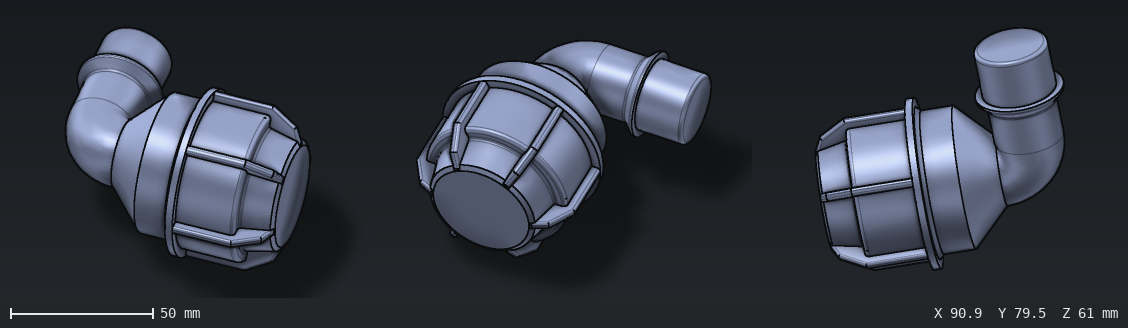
import cadquery as cq
import math


overall_length = 90.9

tube_radius = 24.7 / 2
bend_radius = 11.8
spigot_radius = 26.4 / 2
spigot_end = 49.0
spigot_end_fillet = 1.4

collar_radius = 31.7 / 2
collar_face = 31.1
collar_rim = 1.2
collar_rim_fillet = 0.7
collar_root_fillet = 1.4

body_radius = 51.2 / 2
body_end = 36.5
lip_radius = 27.2

flange_radius = 61.0 / 2
flange_start = 38.25
flange_end = 41.0
barrel_radius = 27.2
barrel_end = 62.8
barrel_fillet = 1.6
nose_root_radius = 22.8
nose_tip_radius = 20.3
nose_root_fillet = 1.1
nose_end_radius = 18.4
nose_chamfer_length = 1.2
nut_end = overall_length - collar_radius

rib_count = 6
rib_thickness = 3.0
rib_fillet = 1.0
rib_inner_radius = 13.6
rib_outer_radius = 30.4
rib_shoulder = (72.2, 24.9)
rib_tip = (74.9, 19.4)


def circle_of(radius, position):
    """Selector box just around one circular edge centred on the X axis."""
    slack = 0.045
    reach = radius + slack
    return cq.selectors.BoxSelector(
        (position - slack, -reach, -reach), (position + slack, reach, reach), boundingbox=True
    )


def make_spigot():
    """Round spigot with a flared collar, standing on the start of the bend."""
    rim_back = collar_face - collar_rim
    flare_start = rim_back - (collar_radius - tube_radius)
    spigot = (
        cq.Workplane("XY")
        .moveTo(0, bend_radius)
        .lineTo(tube_radius, bend_radius)
        .lineTo(tube_radius, flare_start)
        .lineTo(collar_radius, rim_back)
        .lineTo(collar_radius, collar_face)
        .lineTo(spigot_radius, collar_face)
        .lineTo(spigot_radius, spigot_end)
        .lineTo(0, spigot_end)
        .close()
        .revolve(360, (0, 0, 0), (0, 1, 0))
    )
    near = cq.selectors.NearestToPointSelector
    spigot = spigot.faces(">Y").edges().fillet(spigot_end_fillet)
    spigot = spigot.edges(near((0, rim_back, 0))).fillet(collar_rim_fillet)
    return spigot.edges(near((0, flare_start, 0))).fillet(collar_root_fillet)


def make_bend():
    """Quarter bend; the tube is wider than the bend, so its section stops at the bend axis."""
    section_half_height = math.sqrt(tube_radius**2 - bend_radius**2)
    return (
        cq.Workplane("XZ", origin=(0, bend_radius, 0))
        .moveTo(bend_radius, -section_half_height)
        .threePointArc((-tube_radius, 0), (bend_radius, section_half_height))
        .close()
        .revolve(90, (bend_radius, 0, 0), (bend_radius, 1, 0))
    )


def make_body_and_nut():
    """Cone, cylinder, lip, flange, barrel and chamfered nose turned about the X axis."""
    cone_end = bend_radius + (body_radius - tube_radius)
    turned = (
        cq.Workplane("XY")
        .moveTo(bend_radius, 0)
        .lineTo(bend_radius, tube_radius)
        .lineTo(cone_end, body_radius)
        .lineTo(body_end, body_radius)
        .lineTo(flange_start, lip_radius)
        .lineTo(flange_start, flange_radius)
        .lineTo(flange_end, flange_radius)
        .lineTo(flange_end, barrel_radius)
        .lineTo(barrel_end, barrel_radius)
        .lineTo(barrel_end, nose_root_radius)
        .lineTo(nut_end - nose_chamfer_length, nose_tip_radius)
        .lineTo(nut_end, nose_end_radius)
        .lineTo(nut_end, 0)
        .close()
        .revolve(360, (0, 0, 0), (1, 0, 0))
    )
    turned = turned.edges(circle_of(nose_root_radius, barrel_end)).fillet(nose_root_fillet)
    return turned.edges(circle_of(barrel_radius, barrel_end)).fillet(barrel_fillet)


def make_rib():
    """One grip rib on the +Y side, rounded along both sides of its crest."""
    rib = (
        cq.Workplane("XY")
        .moveTo(flange_start, rib_inner_radius)
        .lineTo(flange_start, rib_outer_radius)
        .lineTo(barrel_end, rib_outer_radius)
        .lineTo(*rib_shoulder)
        .lineTo(*rib_tip)
        .lineTo(rib_tip[0], rib_inner_radius)
        .close()
        .extrude(rib_thickness / 2, both=True)
    )
    crest_box = cq.selectors.BoxSelector(
        (flange_end, rib_tip[1], -rib_thickness),
        (rib_tip[0], rib_outer_radius + rib_fillet, rib_thickness),
    )
    return rib.faces("<Z or >Z").edges(crest_box).fillet(rib_fillet)


result = make_body_and_nut().union(make_bend()).union(make_spigot())
for index in range(rib_count):
    result = result.union(make_rib().rotate((0, 0, 0), (1, 0, 0), index * 360 / rib_count))